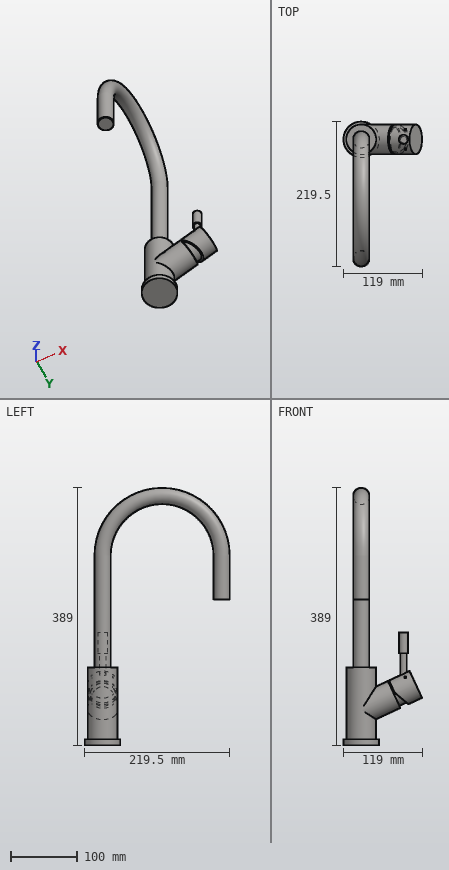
import cadquery as cq
import math

flange_diameter = 54.0
flange_height = 9.5
body_diameter = 45.0
body_top = 118.0

total_height = 389
spout_diameter = 25.0
bend_radius = 90.0
bend_height = total_height - bend_radius - spout_diameter / 2
outlet_height = 219.8
outlet_diameter = 23.0
outlet_chamfer = (spout_diameter - outlet_diameter) / 2

branch_tilt = 25
branch_origin_height = 53.5
socket_length = 55.0
core_diameter = 38.0
cap_start = 56.8
cap_end = 91.0
relief_rise = 2.0
relief_end = 68.0

lever_x = 63.8
stem_diameter = 10.0
grip_diameter = 14.0
grip_bottom = 139.0
grip_top = 170.8

screw_diameter = 3.0
screw_depth = 4
screw_position = 81.0
screw_angle = 42

branch_radius = body_diameter / 2
tilt = math.radians(branch_tilt)
branch_direction = cq.Vector(math.cos(tilt), 0, math.sin(tilt))
branch_up = cq.Vector(-math.sin(tilt), 0, math.cos(tilt))
branch_origin = cq.Vector(0, 0, branch_origin_height)


def upright_cylinder(diameter, bottom, top, x=0):
    """Vertical cylinder between two heights."""
    return cq.Workplane("XY", origin=(x, 0, bottom)).circle(diameter / 2).extrude(top - bottom)


def branch_cylinder(diameter, start, end):
    """Cylinder along the branch axis between two distances from the body axis."""
    base = branch_origin + branch_direction * start
    return cq.Workplane(cq.Solid.makeCylinder(diameter / 2, end - start, base, branch_direction))


def make_spout():
    path = (
        cq.Workplane("YZ")
        .moveTo(0, body_top)
        .lineTo(0, bend_height)
        .threePointArc((-bend_radius, bend_height + bend_radius), (-2 * bend_radius, bend_height))
        .lineTo(-2 * bend_radius, outlet_height)
    )
    spout = cq.Workplane("XY", origin=(0, 0, body_top)).circle(spout_diameter / 2).sweep(path)
    outlet_face = cq.selectors.NearestToPointSelector((0, -2 * bend_radius, outlet_height))
    return spout.faces(outlet_face).edges().chamfer(outlet_chamfer)


def make_cap():
    cap = branch_cylinder(body_diameter, cap_start, cap_end)
    plane = cq.Plane(
        origin=branch_origin.toTuple(),
        xDir=branch_direction.toTuple(),
        normal=(0, -1, 0),
    )
    relief = (
        cq.Workplane(plane)
        .moveTo(cap_start, relief_rise)
        .lineTo(relief_end, -branch_radius)
        .lineTo(cap_start, -branch_radius)
        .close()
        .extrude(branch_radius, both=True)
    )
    return cap.cut(relief)


def make_screw_hole(angle):
    """Radial hole, with its angle measured around the branch axis from the top."""
    turn = math.radians(angle)
    outward = branch_up * math.cos(turn) + cq.Vector(0, math.sin(turn), 0)
    start = branch_origin + branch_direction * screw_position + outward * (branch_radius - screw_depth)
    return cq.Workplane(cq.Solid.makeCylinder(screw_diameter / 2, 2 * screw_depth, start, outward))


def make_lever():
    branch_axis_height = branch_origin_height + lever_x * math.tan(tilt)
    stem = upright_cylinder(stem_diameter, branch_axis_height, grip_bottom, lever_x)
    return stem.union(upright_cylinder(grip_diameter, grip_bottom, grip_top, lever_x))


result = (
    upright_cylinder(flange_diameter, 0, flange_height)
    .union(upright_cylinder(body_diameter, flange_height, body_top))
    .union(make_spout())
    .union(branch_cylinder(body_diameter, 0, socket_length))
    .union(branch_cylinder(core_diameter, 0, cap_end))
    .union(make_cap())
    .union(make_lever())
)
for angle in (-screw_angle, screw_angle):
    result = result.cut(make_screw_hole(angle))